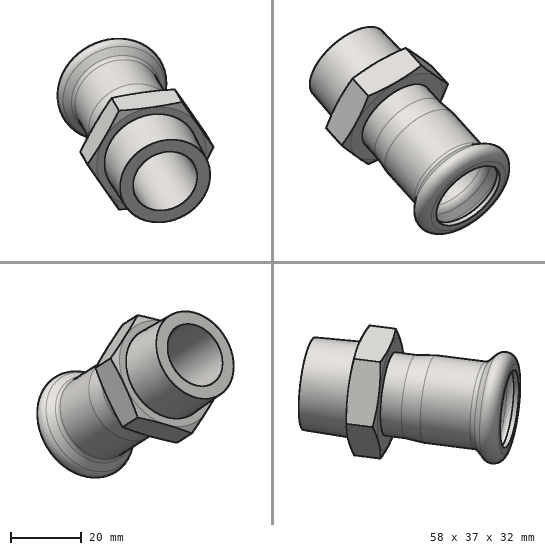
import cadquery as cq
import math

total_length = 58.0
socket_end = 22.95
neck_start = 28.6
hex_start = 34.55
hex_end = 43.5

socket_radius = 25.0 / 2
neck_radius = 23.8 / 2
thread_root_radius = 13.7
thread_tip_radius = 13.2
bore_radius = 9.4

wall = 1.45
bead_outer_radius = 15.9
bead_section_radius = 3.0
blend_radius = 2.05
flank_angle = math.radians(45)

hex_across_flats = 32.0
hex_across_corners = hex_across_flats / math.cos(math.radians(30))
hex_chamfer_angle = math.radians(15)

bead_center_x = bead_section_radius
bead_center_r = bead_outer_radius - bead_section_radius
blend_center_r = socket_radius + blend_radius
blend_center_x = bead_center_x + (
    (bead_section_radius + blend_radius) - (blend_center_r - bead_center_r) * math.sin(flank_angle)
) / math.cos(flank_angle)


def bead_point(angle, depth):
    """Point on the bead section, at the given depth below its outer surface."""
    radius = bead_section_radius - depth
    return (bead_center_x + radius * math.cos(angle), bead_center_r + radius * math.sin(angle))


def blend_point(angle, depth):
    """Point on the blend between flank and socket, at the given depth."""
    radius = blend_radius + depth
    return (blend_center_x + radius * math.cos(angle), blend_center_r + radius * math.sin(angle))


def add_bead_and_blend(profile, depth):
    """Continue a profile from the rim over the bead and down to the socket."""
    blend_start = math.pi + flank_angle
    blend_end = 1.5 * math.pi
    return (
        profile.lineTo(*bead_point(math.pi, depth))
        .threePointArc(bead_point(math.pi / 2, depth), bead_point(flank_angle, depth))
        .lineTo(*blend_point(blend_start, depth))
        .threePointArc(blend_point((blend_start + blend_end) / 2, depth), blend_point(blend_end, depth))
    )


def revolve_about_axis(profile):
    return profile.close().revolve(360, (0, 0, 0), (1, 0, 0))


def make_body():
    """Solid outer shape of the socket, neck and tapered thread end."""
    profile = add_bead_and_blend(cq.Workplane("XY").moveTo(0, 0), 0)
    profile = (
        profile.lineTo(socket_end, socket_radius)
        .lineTo(neck_start, neck_radius)
        .lineTo(hex_end, neck_radius)
        .lineTo(hex_end, thread_root_radius)
        .lineTo(total_length, thread_tip_radius)
        .lineTo(total_length, 0)
    )
    return revolve_about_axis(profile)


def make_hexagon():
    """Hexagon whose corners are chamfered conically at both faces."""
    prism = (
        cq.Workplane("YZ", origin=(hex_start, 0, 0))
        .polygon(6, hex_across_corners)
        .extrude(hex_end - hex_start)
    )
    face_radius = hex_across_flats / 2
    corner_radius = hex_across_corners / 2
    chamfer_depth = (corner_radius - face_radius) * math.tan(hex_chamfer_angle)
    envelope = revolve_about_axis(
        cq.Workplane("XY")
        .moveTo(hex_start, 0)
        .lineTo(hex_start, face_radius)
        .lineTo(hex_start + chamfer_depth, corner_radius)
        .lineTo(hex_end - chamfer_depth, corner_radius)
        .lineTo(hex_end, face_radius)
        .lineTo(hex_end, 0)
    )
    return prism.intersect(envelope)


def make_cavity():
    """Hollow bead, socket up to its stop shoulder, and the through bore."""
    inner_socket_radius = socket_radius - wall
    profile = (
        cq.Workplane("XY")
        .moveTo(0, 0)
        .lineTo(0, inner_socket_radius)
        .lineTo(wall, inner_socket_radius)
    )
    profile = add_bead_and_blend(profile, wall)
    profile = (
        profile.lineTo(socket_end, inner_socket_radius)
        .lineTo(socket_end, bore_radius)
        .lineTo(total_length, bore_radius)
        .lineTo(total_length, 0)
    )
    return revolve_about_axis(profile)


result = make_body().union(make_hexagon()).cut(make_cavity())